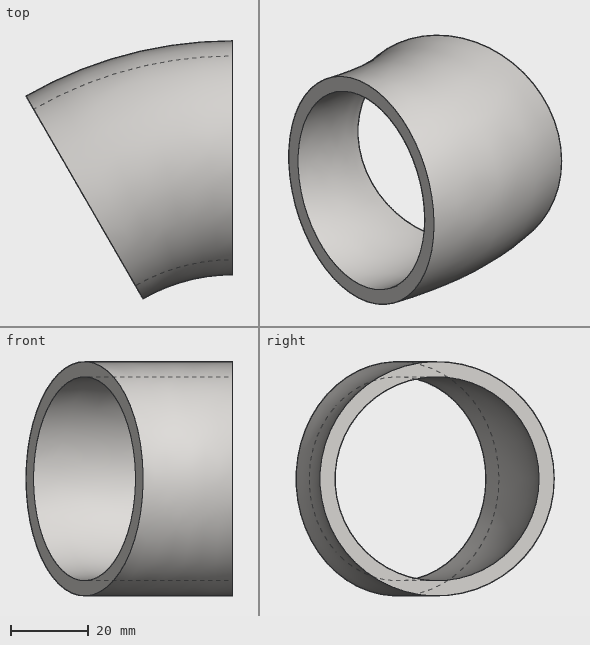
import cadquery as cq
import math

bend_angle = 30.0
overall_depth = 66.5
outside_bend_radius = 106.35
wall = 3.9

inside_bend_radius = (outside_bend_radius - overall_depth) / math.cos(math.radians(bend_angle))
outer_diameter = outside_bend_radius - inside_bend_radius
inner_diameter = outer_diameter - 2 * wall
centerline_radius = (outside_bend_radius + inside_bend_radius) / 2

result = (
    cq.Workplane("YZ")
    .circle(outer_diameter / 2)
    .circle(inner_diameter / 2)
    .revolve(bend_angle, (-centerline_radius, 0), (-centerline_radius, 1))
)